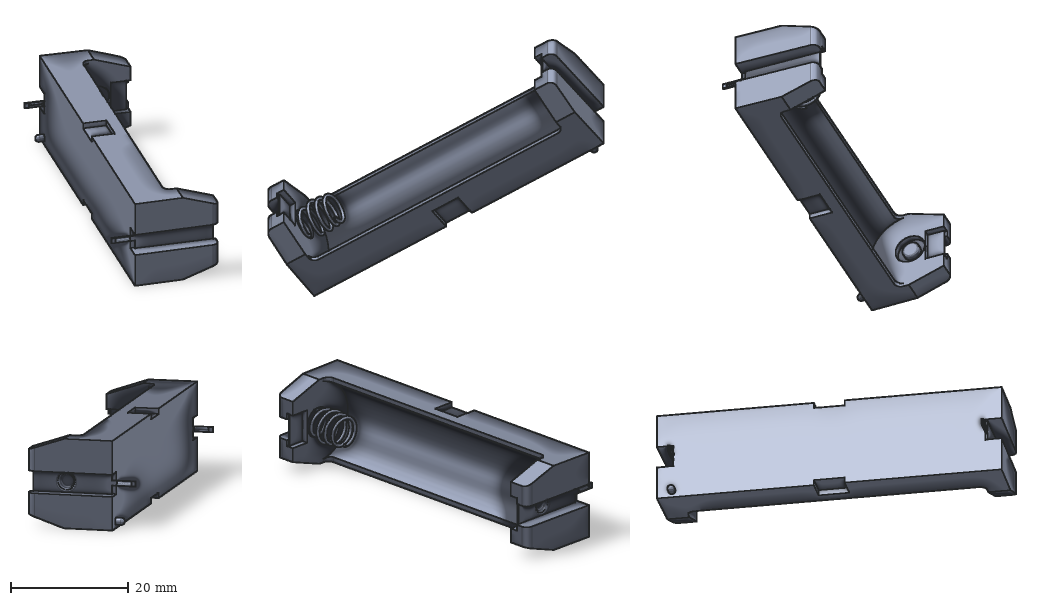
import cadquery as cq
import math


LENGTH = 59.95
WIDTH = 15.5
HEIGHT = 15.0
END_WALL = 4.0
END_DRAFT = 0.25
FLOOR_HEIGHT = 6.3
CORNER_RADIUS = 1.2
BEVEL_START = 8.5
TOP_WIDTH = 11.15

CELL_AXIS_HEIGHT = 8.75
CRADLE_RADIUS = 7.25

SIDE_RECESS_LENGTH = 5.35
SIDE_RECESS_HEIGHT = 4.15
SIDE_RECESS_DEPTH = 0.95

PEG_DIAMETER = 1.25
PEG_STRAIGHT = 0.9
PEG_FROM_END = 2.65
PEG_FROM_SIDE = 1.2

PLATE_INSET = 2.6
PLATE_THICKNESS = 0.3
PLATE_WIDTH = 6.0
PLATE_BOTTOM = 0.8
PLATE_TOP = 14.55

SLOT_WIDTH = 3.85
NOTCH_BOTTOM = 11.5
BORE_DIAMETER = 5.4

TAIL_WIDTH = 0.9
TAIL_LENGTH = 3.4
CRIMP_TOP = 0.1
CRIMP_BOTTOM = 2.7
CRIMP_BULGE = 0.15

DIMPLE_DIAMETER = 2.5
DIMPLE_DEPTH = 1.1
DIMPLE_LIP_RADIUS = 0.55
DIMPLE_FLOOR_RADIUS = 0.3

WIRE_DIAMETER = 0.6
SPRING_FREE_FROM_END = 10.3
FLAT_TURNS = 0.5
BODY_TURNS = 2.5
BASE_TURNS = 1.5
BODY_PITCH = 1.55
FREE_RADIUS = 2.5
WIDEST_RADIUS = 3.0
BASE_RADIUS = 1.85
WIRE_EMBED = 0.1
POINTS_PER_TURN = 8

HALF_LENGTH = LENGTH / 2
INNER_WALL_X = HALF_LENGTH - END_WALL
PLATE_OUTER_X = HALF_LENGTH - PLATE_INSET
PLATE_INNER_X = PLATE_OUTER_X - PLATE_THICKNESS


def block(x_range, y_range, z_range):
    """Box between the given limits on each axis."""
    size = [high - low for low, high in (x_range, y_range, z_range)]
    corner = (x_range[0], y_range[0], z_range[0])
    return cq.Workplane("XY").box(*size, centered=False).translate(corner)


def centred(width):
    """Limits of a width centred on zero."""
    return (-width / 2, width / 2)


def cylinder_along_x(radius, x_start, x_end):
    """Cylinder on the cell axis."""
    return (
        cq.Workplane("YZ", origin=(x_start, CELL_AXIS_HEIGHT, 0))
        .circle(radius)
        .extrude(x_end - x_start)
    )


def housing_blank():
    """U-shaped profile across the full width, with rounded corners."""
    top_x = HALF_LENGTH - END_DRAFT
    profile = [
        (-HALF_LENGTH, 0),
        (HALF_LENGTH, 0),
        (top_x, HEIGHT),
        (INNER_WALL_X, HEIGHT),
        (INNER_WALL_X, FLOOR_HEIGHT),
        (-INNER_WALL_X, FLOOR_HEIGHT),
        (-INNER_WALL_X, HEIGHT),
        (-top_x, HEIGHT),
    ]
    blank = cq.Workplane("XY").polyline(profile).close().extrude(WIDTH / 2, both=True)
    for x, y in [(top_x, HEIGHT), (INNER_WALL_X, FLOOR_HEIGHT)]:
        for side in (-1, 1):
            corner = cq.selectors.NearestToPointSelector((side * x, y, 0))
            blank = blank.edges("|Z").edges(corner).fillet(CORNER_RADIUS)
    return blank


def end_wall_bevels():
    """Wedges that narrow the end walls toward the top."""
    wedge = (
        cq.Workplane("YZ")
        .polyline([(BEVEL_START, WIDTH / 2), (HEIGHT, WIDTH / 2), (HEIGHT, TOP_WIDTH / 2)])
        .close()
        .extrude(HALF_LENGTH, both=True)
    )
    return wedge.union(wedge.mirror("XY"))


def side_recesses():
    """Shallow recesses at mid-length, open to the mounting face."""
    recess = block(
        centred(SIDE_RECESS_LENGTH),
        (0, SIDE_RECESS_HEIGHT),
        (WIDTH / 2 - SIDE_RECESS_DEPTH, WIDTH / 2),
    )
    return recess.union(recess.mirror("XY"))


def contact_openings():
    """Everything cut from the +X end wall for its contact."""
    slot = block((PLATE_INNER_X, HALF_LENGTH), (0, HEIGHT), centred(SLOT_WIDTH))
    groove = block((PLATE_INNER_X, PLATE_OUTER_X), (PLATE_BOTTOM, HEIGHT), centred(PLATE_WIDTH))
    notch = block((INNER_WALL_X, PLATE_INNER_X), (NOTCH_BOTTOM, HEIGHT), centred(PLATE_WIDTH))
    bore = cylinder_along_x(BORE_DIAMETER / 2, INNER_WALL_X, PLATE_INNER_X)
    return slot.union(groove).union(notch).union(bore)


def locating_peg():
    """Round-nosed peg below the mounting face, rooted in the housing."""
    radius = PEG_DIAMETER / 2
    centre = (PEG_FROM_END - HALF_LENGTH, 0, PEG_FROM_SIDE - WIDTH / 2)
    shank = cq.Workplane("XZ", origin=centre).circle(radius).extrude(PEG_STRAIGHT)
    nose = cq.Workplane("XY").sphere(radius).translate(centre).translate((0, -PEG_STRAIGHT, 0))
    return shank.union(nose)


def make_housing():
    cradle = cylinder_along_x(CRADLE_RADIUS, -INNER_WALL_X, INNER_WALL_X)
    openings = contact_openings()
    return (
        housing_blank()
        .cut(end_wall_bevels())
        .cut(cradle)
        .cut(side_recesses())
        .cut(openings)
        .cut(openings.mirror("YZ"))
        .union(locating_peg())
    )


def crimped_tail_section():
    """S-shaped stretch of the tail: upper half pushed inward, lower half outward."""
    mid_x = (PLATE_OUTER_X + PLATE_INNER_X) / 2
    half = PLATE_THICKNESS / 2
    edge = TAIL_WIDTH / 2
    return (
        cq.Workplane("XZ", origin=(mid_x, -CRIMP_TOP, 0))
        .moveTo(half, -edge)
        .threePointArc((half + CRIMP_BULGE, -edge / 2), (half, 0))
        .threePointArc((half - CRIMP_BULGE, edge / 2), (half, edge))
        .lineTo(-half, edge)
        .threePointArc((-half - CRIMP_BULGE, edge / 2), (-half, 0))
        .threePointArc((-half + CRIMP_BULGE, -edge / 2), (-half, -edge))
        .close()
        .extrude(CRIMP_BOTTOM - CRIMP_TOP)
    )


def contact_plate():
    """Flat plate with its solder tail, in the +X end wall."""
    thickness_range = (PLATE_INNER_X, PLATE_OUTER_X)
    plate = block(thickness_range, (PLATE_BOTTOM, PLATE_TOP), centred(PLATE_WIDTH))
    tail_root = block(thickness_range, (-CRIMP_TOP, PLATE_BOTTOM), centred(TAIL_WIDTH))
    tail_tip = block(thickness_range, (-TAIL_LENGTH, -CRIMP_BOTTOM), centred(TAIL_WIDTH))
    return plate.union(tail_root).union(crimped_tail_section()).union(tail_tip)


def make_button_contact():
    """Contact in the -X end wall, with a hollow button facing the cell."""
    button_radius = DIMPLE_DIAMETER / 2 + PLATE_THICKNESS
    floor_x = PLATE_OUTER_X - DIMPLE_DEPTH
    button = cylinder_along_x(button_radius, floor_x - PLATE_THICKNESS, PLATE_INNER_X)
    button = button.faces("<X").edges().fillet(DIMPLE_FLOOR_RADIUS)
    dimple = cylinder_along_x(DIMPLE_DIAMETER / 2, floor_x, PLATE_OUTER_X)
    dimple = dimple.faces("<X").edges().fillet(DIMPLE_FLOOR_RADIUS)
    lip = cq.selectors.NearestToPointSelector((PLATE_OUTER_X, CELL_AXIS_HEIGHT, 0))
    contact = contact_plate().union(button).cut(dimple)
    contact = contact.edges("%CIRCLE").edges(lip).fillet(DIMPLE_LIP_RADIUS)
    return contact.mirror("YZ")


def spring_point(turn):
    """Centre of the wire after the given number of turns past the flat end turn."""
    free_x = HALF_LENGTH - SPRING_FREE_FROM_END
    body_end_x = free_x + BODY_TURNS * BODY_PITCH
    seat_x = PLATE_INNER_X - WIRE_EMBED
    if turn <= BODY_TURNS:
        share = max(turn, 0) / BODY_TURNS
        x = free_x + share * (body_end_x - free_x)
        radius = FREE_RADIUS + share * (WIDEST_RADIUS - FREE_RADIUS)
    else:
        share = (turn - BODY_TURNS) / BASE_TURNS
        x = body_end_x + share * (seat_x - body_end_x)
        radius = WIDEST_RADIUS + share * (BASE_RADIUS - WIDEST_RADIUS)
    angle = 2 * math.pi * turn
    return cq.Vector(x, CELL_AXIS_HEIGHT + radius * math.sin(angle), radius * math.cos(angle))


def spring_wire():
    """Round wire coiled from the free end to its seat on the plate."""
    steps = int((FLAT_TURNS + BODY_TURNS + BASE_TURNS) * POINTS_PER_TURN)
    points = [spring_point(step / POINTS_PER_TURN - FLAT_TURNS) for step in range(steps + 1)]
    path = cq.Workplane("XY").spline(points)
    start_plane = cq.Plane(origin=points[0], normal=path.val().tangentAt(0))
    return cq.Workplane(start_plane).circle(WIRE_DIAMETER / 2).sweep(path, isFrenet=True)


def make_spring_contact():
    """Contact in the +X end wall, with the spring fixed to it."""
    return contact_plate().union(spring_wire())


housing = make_housing()
button_contact = make_button_contact()
spring_contact = make_spring_contact()

result = cq.Compound.makeCompound(
    [body.solids().val() for body in (housing, button_contact, spring_contact)]
)